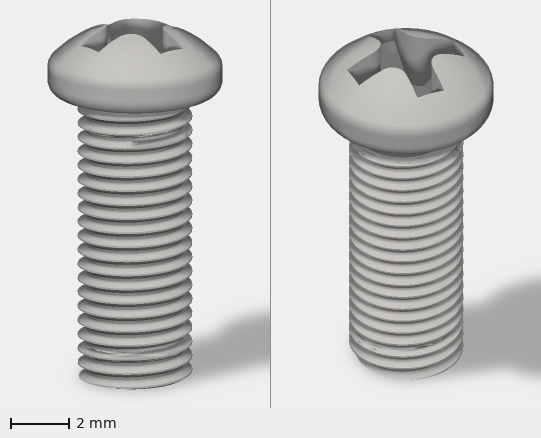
import cadquery as cq
import math

total_length = 12.38
shank_length = 10.0

head_radius = 6.0 / 2
rim_radius = 0.5
band_bottom = shank_length + rim_radius
band_top = shank_length + 0.94
dome_radius = 4.0

slot_width = 1.0
slot_reach = 2.0
floor_half_width = 0.9
corner_radius = 0.62
end_wall_bottom = 11.44

minor_radius = 3.35 / 2
major_radius = 3.92 / 2
pitch = shank_length / 20
crest_width = 0.06
root_width = 0.4
root_overlap = 0.04


def make_head():
    """Revolved pan head whose upper rim rounding is tangent to the dome."""
    rim_center = head_radius - rim_radius
    dome_angle = math.asin(rim_center / (dome_radius - rim_radius))
    dome_center_z = band_top - (dome_radius - rim_radius) * math.cos(dome_angle)

    def rim_point(angle, center_z):
        return (
            rim_center + rim_radius * math.cos(angle),
            center_z + rim_radius * math.sin(angle),
        )

    def dome_point(angle):
        return (
            dome_radius * math.sin(angle),
            dome_center_z + dome_radius * math.cos(angle),
        )

    rim_sweep = math.pi / 2 - dome_angle
    profile = (
        cq.Workplane("XZ")
        .moveTo(0, shank_length)
        .lineTo(rim_center, shank_length)
        .threePointArc(rim_point(-math.pi / 4, band_bottom), (head_radius, band_bottom))
        .lineTo(head_radius, band_top)
        .threePointArc(rim_point(rim_sweep / 2, band_top), dome_point(dome_angle))
        .threePointArc(dome_point(dome_angle / 2), dome_point(0))
        .close()
    )
    return profile.revolve(360, (0, 0), (0, 1))


def make_recess():
    """Cross with rounded inner corners and arms that slope down to a square floor."""
    slope_height = slot_reach - floor_half_width
    floor_z = end_wall_bottom - slope_height
    cutter_height = total_length + rim_radius - floor_z

    arm = (
        cq.Workplane("XY", origin=(0, 0, floor_z))
        .rect(2 * slot_reach, slot_width)
        .extrude(cutter_height)
    )
    cross = arm.union(arm.rotate((0, 0, 0), (0, 0, 1), 90))
    inner_corners = cq.selectors.BoxSelector(
        (-slot_width, -slot_width, floor_z),
        (slot_width, slot_width, floor_z + cutter_height),
    )
    cross = cross.edges("|Z").edges(inner_corners).fillet(corner_radius)

    funnel = (
        cq.Workplane("XY", origin=(0, 0, floor_z))
        .rect(2 * floor_half_width, 2 * floor_half_width)
        .workplane(offset=slope_height)
        .rect(2 * slot_reach, 2 * slot_reach)
        .loft(ruled=True)
        .faces(">Z")
        .workplane()
        .rect(2 * slot_reach, 2 * slot_reach)
        .extrude(cutter_height - slope_height)
    )
    return cross.intersect(funnel)


def make_thread():
    """Right-handed ridge that runs out through the shank end and into the head."""
    flank_slope = (root_width - crest_width) / 2 / (major_radius - minor_radius)
    base_half = root_width / 2 + flank_slope * root_overlap
    crest_half = crest_width / 2
    base_radius = minor_radius - root_overlap
    helix_height = shank_length + 2 * pitch
    path = cq.Wire.makeHelix(pitch, helix_height, minor_radius)
    ridge = (
        cq.Workplane("XZ")
        .polyline(
            [
                (base_radius, -base_half),
                (major_radius, -crest_half),
                (major_radius, crest_half),
                (base_radius, base_half),
            ]
        )
        .close()
        .sweep(cq.Workplane(obj=path), isFrenet=True)
    )
    ridge = ridge.rotate((0, 0, 0), (0, 0, 1), -90).translate((0, 0, -pitch))
    shank_space = cq.Workplane("XY").circle(head_radius).extrude(shank_length + crest_width)
    return ridge.intersect(shank_space)


core_overlap = 0.12
core = cq.Workplane("XY").circle(minor_radius).extrude(shank_length + core_overlap)
head = make_head().cut(make_recess())
result = core.union(make_thread()).union(head)